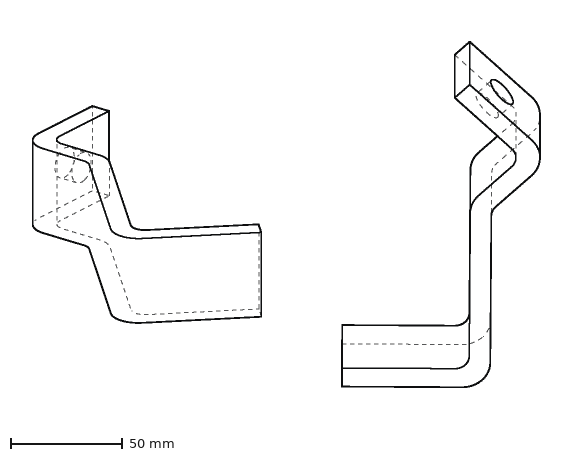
import cadquery as cq
import math

INCH = 25.4

thickness = 3 / 8 * INCH
bar_width = 1.625 * INCH
inner_radius = 1 / 4 * INCH
outer_radius = 1 / 2 * INCH

overall_x = 148.97
overall_y = 110.96

step_leg = 1.5 * INCH
end_leg = 2.625 * INCH
bend_angle = 45

hole_diameter = 9 / 16 * INCH
hole_from_end = bar_width / 2

slope = math.radians(bend_angle)

corner_cut = outer_radius * (1 / math.cos(slope) - 1)

end_leg_run = end_leg * math.cos(slope)
end_leg_rise = end_leg * math.sin(slope)
diagonal_run = overall_x - step_leg - end_leg_run
diagonal_drop = diagonal_run * math.tan(slope)
mounting_leg = overall_y + corner_cut - diagonal_drop

miter_shift = thickness * math.tan(slope / 2)
valley_shift = thickness / math.cos(slope)
end_shift_x = -thickness * math.sin(slope)
end_shift_y = thickness * math.cos(slope)

top_end = (0, mounting_leg)
first_bend = (0, 0)
second_bend = (step_leg, 0)
third_bend = (step_leg + diagonal_run, -diagonal_drop)
free_end = (third_bend[0] + end_leg_run, third_bend[1] + end_leg_rise)


def shifted(point, dx, dy):
    return (point[0] + dx, point[1] + dy)


top_end_far = shifted(top_end, thickness, 0)
first_bend_far = shifted(first_bend, thickness, thickness)
second_bend_far = shifted(second_bend, miter_shift, thickness)
third_bend_far = shifted(third_bend, 0, valley_shift)
free_end_far = shifted(free_end, end_shift_x, end_shift_y)


def sharp_bar():
    outline = [
        top_end, first_bend, second_bend, third_bend, free_end,
        free_end_far, third_bend_far, second_bend_far, first_bend_far, top_end_far,
    ]
    return cq.Workplane("XY").polyline(outline).close().extrude(bar_width)


def round_corners(bar, corners, radius):
    for x, y in corners:
        corner_edge = cq.selectors.NearestToPointSelector((x, y, bar_width / 2))
        bar = bar.edges("|Z").edges(corner_edge).fillet(radius)
    return bar


def hole_cutter():
    return (
        cq.Workplane("YZ")
        .center(mounting_leg - hole_from_end, bar_width / 2)
        .circle(hole_diameter / 2)
        .extrude(thickness)
    )


bar = sharp_bar()
bar = round_corners(bar, [first_bend, second_bend_far, third_bend], outer_radius)
bar = round_corners(bar, [first_bend_far, second_bend, third_bend_far], inner_radius)
result = bar.cut(hole_cutter())